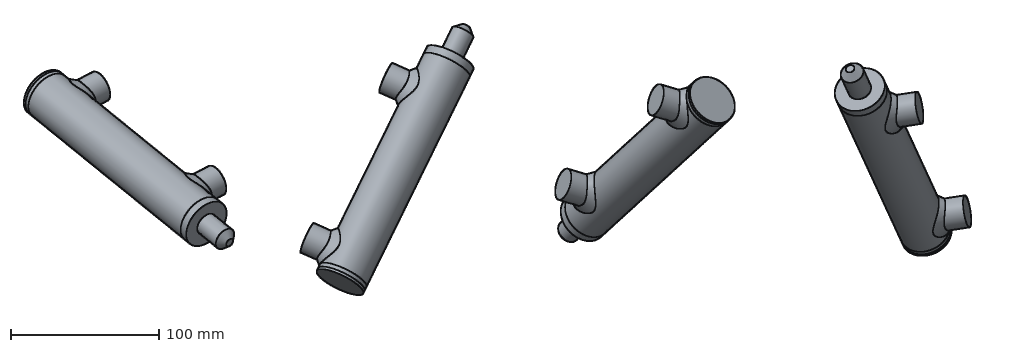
import cadquery as cq


barrel_diameter = 35.0
barrel_radius = barrel_diameter / 2
gland_length = 6.0
gland_end = 175.0
gland_start = gland_end - gland_length

cap_rim_length = 2.0
cap_weld_width = 3.0
barrel_start = cap_rim_length + cap_weld_width
cap_spigot_radius = barrel_radius - cap_weld_width

rod_diameter = 16.0
rod_end = 200.0
tip_length = 5.0

port_diameter = 22.0
port_radius = port_diameter / 2
port_end = 33.32
port_weld_leg = 3.5
port_weld_radius = port_radius + port_weld_leg
first_port_x = 19.0
port_spacing = 125.0
port_positions = [first_port_x, first_port_x + port_spacing]


def cylinder_along_x(diameter, start, end):
    return cq.Workplane("YZ", origin=(start, 0, 0)).circle(diameter / 2).extrude(end - start)


def cylinder_along_y(radius, x):
    """Cylinder from the barrel axis out to the port end."""
    return cq.Workplane("XZ", origin=(x, 0, 0)).circle(radius).extrude(-port_end)


def revolve_about_x(outline):
    """Revolve a closed outline of (x, radius) points about the X axis."""
    return cq.Workplane("XY").polyline(outline).close().revolve(360, (0, 0, 0), (1, 0, 0))


def saddle_face(cylinder_radius, patch_radius, x):
    """Round patch, seen along Y, of a cylinder lying on the X axis."""
    envelope = cylinder_along_x(2 * cylinder_radius, 0, gland_end)
    plug = cylinder_along_y(patch_radius, x).intersect(envelope)
    return plug.faces(">Y").val()


def make_barrel():
    return cylinder_along_x(barrel_diameter, barrel_start, gland_start)


def make_cap():
    """Disc with a beveled spigot that meets the barrel."""
    return revolve_about_x([
        (0, 0),
        (0, barrel_radius),
        (cap_rim_length, barrel_radius),
        (barrel_start, cap_spigot_radius),
        (barrel_start, 0),
    ])


def make_cap_weld():
    """Ring that fills the V between the cap bevel and the barrel end."""
    return revolve_about_x([
        (cap_rim_length, barrel_radius),
        (barrel_start, barrel_radius),
        (barrel_start, cap_spigot_radius),
    ])


def make_gland():
    bore = cylinder_along_x(rod_diameter, gland_start, gland_end)
    return cylinder_along_x(barrel_diameter, gland_start, gland_end).cut(bore)


def make_rod():
    rod = cylinder_along_x(rod_diameter, gland_start, rod_end)
    return rod.faces(">X").chamfer(tip_length)


def make_port(x):
    """Round boss whose foot is shaped to sit on the barrel."""
    return cylinder_along_y(port_radius, x).cut(barrel)


def make_port_weld(x):
    """Collar sloping from the port wall down to the barrel surface."""
    upper_face = saddle_face(barrel_radius + port_weld_leg, port_radius, x)
    lower_face = saddle_face(barrel_radius, port_weld_radius, x)
    slope_face = cq.Face.makeRuledSurface(upper_face.outerWire(), lower_face.outerWire())
    skin = cq.Shell.makeShell([upper_face, lower_face, slope_face])
    collar = cq.Workplane(cq.Solid.makeSolid(skin))
    return collar.cut(cylinder_along_y(port_radius, x))


barrel = make_barrel()
cap = make_cap()
cap_weld = make_cap_weld()
gland = make_gland()
rod = make_rod()
ports = [make_port(x) for x in port_positions]
port_welds = [make_port_weld(x) for x in port_positions]

result = cq.Compound.makeCompound([
    barrel.val(),
    cap.val(),
    cap_weld.val(),
    gland.val(),
    rod.val(),
    *[port.solids().val() for port in ports],
    *[weld.solids().val() for weld in port_welds],
])